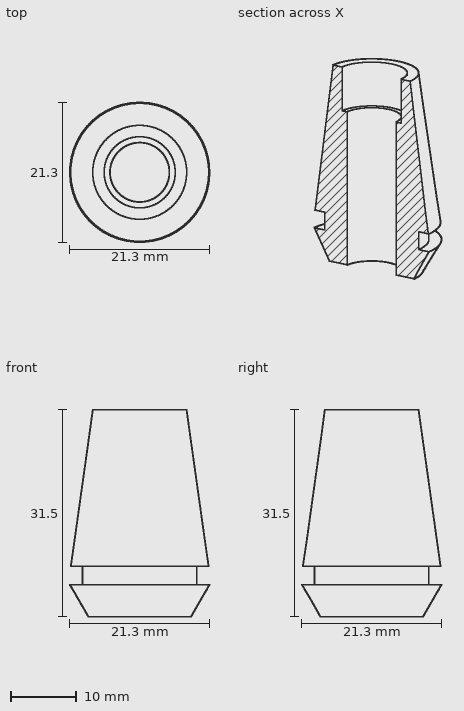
import cadquery as cq
import math

total_height = 31.5
flange_diameter = 21.3
flange_height = 4.88
flange_half_angle = 30.0

groove_diameter = 17.42
groove_top = 7.65

body_diameter = 21.0
body_half_angle = 8.0

bore_diameter = 9.0
counterbore_diameter = 10.85
counterbore_depth = 7.0

flange_radius = flange_diameter / 2
groove_radius = groove_diameter / 2
body_radius = body_diameter / 2
base_radius = flange_radius - flange_height * math.tan(math.radians(flange_half_angle))
body_height = total_height - groove_top
top_radius = body_radius - body_height * math.tan(math.radians(body_half_angle))


def make_outer_body():
    """Revolve the flange, groove and taper about the Z axis."""
    return (
        cq.Workplane("YZ")
        .moveTo(0, 0)
        .lineTo(base_radius, 0)
        .lineTo(flange_radius, flange_height)
        .lineTo(groove_radius, flange_height)
        .lineTo(groove_radius, groove_top)
        .lineTo(body_radius, groove_top)
        .lineTo(top_radius, total_height)
        .lineTo(0, total_height)
        .close()
        .revolve(360, (0, 0, 0), (0, 1, 0))
    )


result = make_outer_body().faces(">Z").workplane().cboreHole(
    bore_diameter, counterbore_diameter, counterbore_depth
)